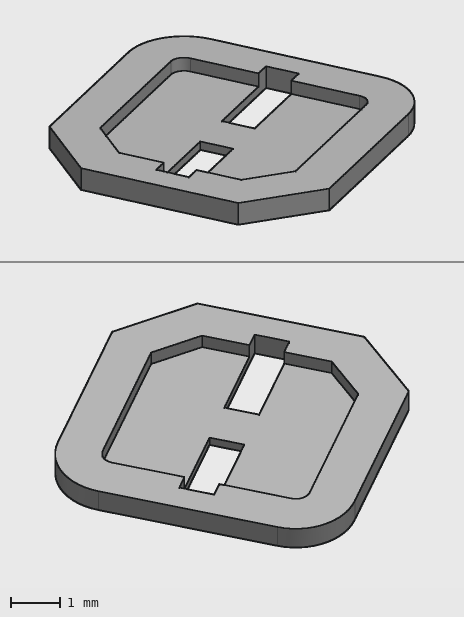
import cadquery as cq

side = 6.3
thickness = 0.5
corner_radius = 1.25
corner_chamfer = 1.38

rim_width = 0.95
pocket_depth = 0.3

slot_width = 0.74
slot_length = 2.05
slot_gap = 1.0
slot_offset = (slot_gap + slot_length) / 2


def rounded_chamfered_block(size, height, radius, chamfer):
    """Square block with rounded +Y corners and chamfered -Y corners."""
    block = cq.Workplane("XY").box(size, size, height, centered=(True, True, False))
    block = block.edges("|Z and >Y").fillet(radius)
    return block.edges("|Z and <Y").chamfer(chamfer)


plate = rounded_chamfered_block(side, thickness, corner_radius, corner_chamfer)

pocket = rounded_chamfered_block(
    side - 2 * rim_width,
    pocket_depth,
    corner_radius - rim_width,
    corner_chamfer - (2 - 2**0.5) * rim_width,
).translate((0, 0, thickness - pocket_depth))

slots = (
    cq.Workplane("XY")
    .pushPoints([(0, -slot_offset), (0, slot_offset)])
    .rect(slot_width, slot_length)
    .extrude(thickness)
)

result = plate.cut(pocket).cut(slots)